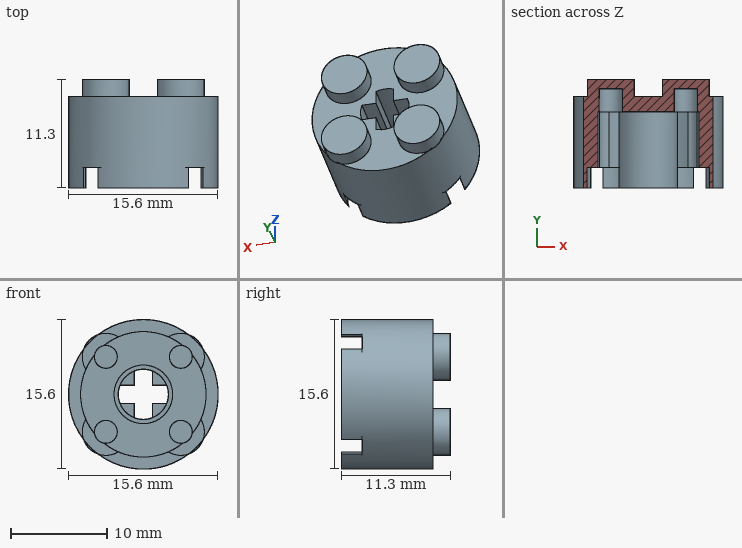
import cadquery as cq

body_radius = 7.8
body_length = 9.55
total_length = 11.33
cavity_radius = 6.53
end_wall = 1.6

stud_offset = 3.9
stud_radius = 2.45
stud_bore_radius = 1.19
stud_cap = 1.0
notch_depth = 2.15

tube_outer_radius = 3.05
tube_inner_radius = 2.6
cross_arm_width = 1.86
cross_start = 2.15

rim_y = -total_length / 2
shoulder_y = rim_y + body_length
stud_end_y = rim_y + total_length
cavity_floor_y = shoulder_y - end_wall
stud_centers = [(x, z) for x in (-stud_offset, stud_offset) for z in (-stud_offset, stud_offset)]


def cylinder(radius, y_start, y_end, center=(0, 0)):
    """Cylinder along Y between two Y positions, centred at (x, z)."""
    x, z = center
    base = cq.Vector(x, y_start, z)
    return cq.Workplane(obj=cq.Solid.makeCylinder(radius, y_end - y_start, base, cq.Vector(0, 1, 0)))


def make_shell():
    """Round body with studs on the closed end and a cavity behind the rim."""
    shell = cylinder(body_radius, rim_y, shoulder_y)
    for center in stud_centers:
        shell = shell.union(cylinder(stud_radius, shoulder_y, stud_end_y, center))
    return shell.cut(cylinder(cavity_radius, rim_y, cavity_floor_y))


def cut_stud_sockets(shell):
    """Rim notches and stud bores, both in line with the studs."""
    for center in stud_centers:
        shell = shell.cut(cylinder(stud_radius, rim_y, rim_y + notch_depth, center))
        shell = shell.cut(cylinder(stud_bore_radius, rim_y, stud_end_y - stud_cap, center))
    return shell


def make_axle_hole():
    """Round bore that turns into a cross-shaped axle hole, open at both ends."""
    cross_y = rim_y + cross_start
    cross_length = shoulder_y - cross_y
    diameter = 2 * tube_inner_radius
    cross_middle = (0, cross_y + cross_length / 2, 0)
    arm_x = cq.Workplane().box(diameter, cross_length, cross_arm_width).translate(cross_middle)
    arm_z = cq.Workplane().box(cross_arm_width, cross_length, diameter).translate(cross_middle)
    cross = arm_x.union(arm_z).intersect(cylinder(tube_inner_radius, cross_y, shoulder_y))
    return cylinder(tube_inner_radius, rim_y, cross_y).union(cross)


shell = cut_stud_sockets(make_shell())
tube = cylinder(tube_outer_radius, rim_y, shoulder_y)
result = shell.union(tube).cut(make_axle_hole())